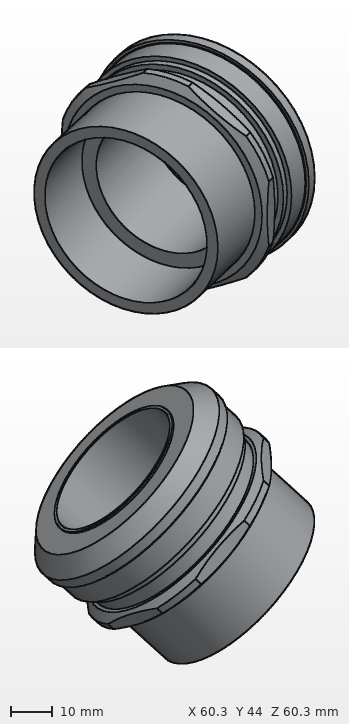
import cadquery as cq

socket_end = 0.0
nut_front = 18.1
nut_back = 22.9
neck_back = 27.5
ring_back = 29.3
body_back = 35.95
shoulder_back = 36.2
cap_rim_back = 39.1
cap_back = 43.4
lip_back = 43.95

socket_diameter = 50.9
nut_diameter = 59.95
nut_face_diameter = 54.9
neck_diameter = 53.0
ring_diameter = 56.0
body_diameter = 58.5
shoulder_diameter = 58.8
cap_diameter = 60.3
cap_face_diameter = 51.5
lip_diameter = 38.5

nut_bevel_length = 1.4
nut_across_flats = 57.05
nut_sides = 6

socket_bore_diameter = 44.9
through_bore_diameter = 36.9
socket_bore_depth = nut_front


def cone_or_cylinder(start, end, start_diameter, end_diameter):
    """Solid of revolution about Y whose diameter varies linearly."""
    return (
        cq.Workplane("XY")
        .moveTo(0, start)
        .lineTo(start_diameter / 2, start)
        .lineTo(end_diameter / 2, end)
        .lineTo(0, end)
        .close()
        .revolve(360, (0, 0, 0), (0, 1, 0))
    )


def cylinder(start, end, diameter):
    return cone_or_cylinder(start, end, diameter, diameter)


def make_nut():
    """Round nut, bevelled on both faces, with six flats; one pair faces +X and -X."""
    band_front = nut_front + nut_bevel_length
    band_back = nut_back - nut_bevel_length
    nut = (
        cone_or_cylinder(nut_front, band_front, nut_face_diameter, nut_diameter)
        .union(cylinder(band_front, band_back, nut_diameter))
        .union(cone_or_cylinder(band_back, nut_back, nut_diameter, nut_face_diameter))
    )
    cutter_size = nut_diameter
    cutter = cq.Workplane("XY").box(cutter_size, cutter_size, cutter_size).translate(
        ((nut_across_flats + cutter_size) / 2, (nut_front + nut_back) / 2, 0)
    )
    for side in range(nut_sides):
        angle = side * 360 / nut_sides
        nut = nut.cut(cutter.rotate((0, 0, 0), (0, 1, 0), angle))
    return nut


outside = (
    cylinder(socket_end, nut_front, socket_diameter)
    .union(make_nut())
    .union(cylinder(nut_back, neck_back, neck_diameter))
    .union(cylinder(neck_back, ring_back, ring_diameter))
    .union(cylinder(ring_back, body_back, body_diameter))
    .union(cylinder(body_back, shoulder_back, shoulder_diameter))
    .union(cylinder(shoulder_back, cap_rim_back, cap_diameter))
    .union(cone_or_cylinder(cap_rim_back, cap_back, cap_diameter, cap_face_diameter))
    .union(cylinder(cap_back, lip_back, lip_diameter))
)

socket_bore = cylinder(socket_end, socket_bore_depth, socket_bore_diameter)
through_bore = cylinder(socket_end, lip_back, through_bore_diameter)
result = outside.cut(socket_bore).cut(through_bore)